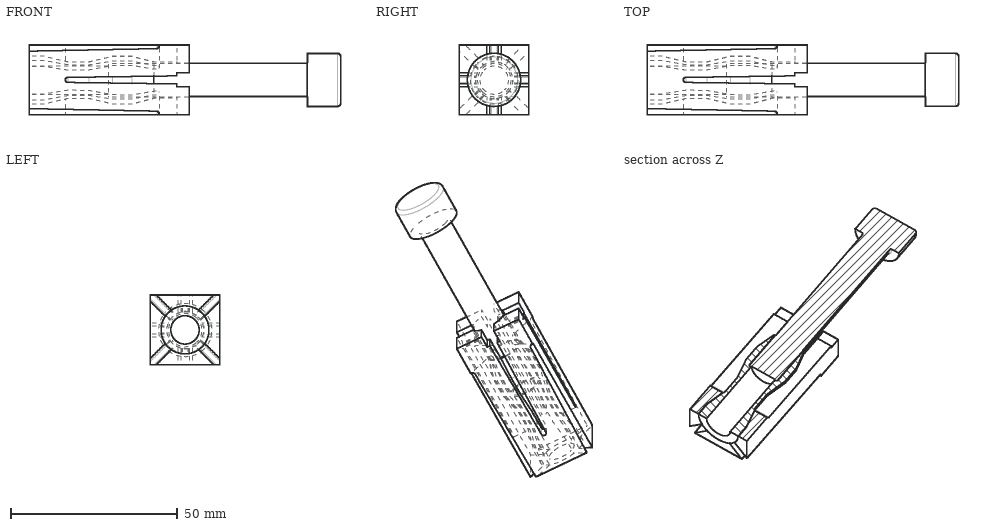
import cadquery as cq
import math


TOTAL_LENGTH = 93.7

SLEEVE_WIDTH = 21.0
SLEEVE_LENGTH = 48.2
SLOT_DRAFT = math.radians(0.8)
CORNER_SLOT_MOUTH = 2.6
CORNER_SLOT_END = 39.1
FACE_SLOT_MOUTH = 2.5
FACE_SLOT_END = 10.9
NOTCH_WIDTH = 4.2
NOTCH_LENGTH = 3.75

NUT_RADIUS = 7.2
NUT_WAIST_RADIUS = 5.5
FRONT_COLLAR_END = 4.4
FRONT_CONE_END = 11.5
REAR_CONE_START = 17.9
REAR_COLLAR_START = 25.0
REAR_COLLAR_END = 30.8
NUT_LENGTH = 37.4
NUT_HOLE_DIAMETER = 8.5

SHANK_DIAMETER = 10.0
SHANK_LENGTH = 60.0
HEAD_DIAMETER = 16.0
HEAD_LENGTH = 10.0
HEAD_ROUNDING = 1.0
NECK_FILLET = 0.4

HEAD_START = TOTAL_LENGTH - HEAD_LENGTH
SHANK_START = HEAD_START - SHANK_LENGTH


def cylinder(diameter, start, length):
    """Cylinder on the X axis from X = start."""
    return cq.Workplane("YZ", origin=(start, 0, 0)).circle(diameter / 2).extrude(length)


def wedge_profile():
    """Solid of revolution filling the nut's outer shape."""
    outline = [
        (0, 0),
        (0, NUT_RADIUS),
        (FRONT_COLLAR_END, NUT_RADIUS),
        (FRONT_CONE_END, NUT_WAIST_RADIUS),
        (REAR_CONE_START, NUT_WAIST_RADIUS),
        (REAR_COLLAR_START, NUT_RADIUS),
        (REAR_COLLAR_END, NUT_RADIUS),
        (NUT_LENGTH, NUT_WAIST_RADIUS),
        (NUT_LENGTH, 0),
    ]
    return cq.Workplane("XY").polyline(outline).close().revolve(360, (0, 0, 0), (1, 0, 0))


def radial_slot(mouth_x, end_x, mouth_width, angle):
    """Drafted slot with a rounded end, cut outwards from the axis and turned about X."""
    direction = math.copysign(1, end_x - mouth_x)
    taper = math.tan(SLOT_DRAFT)
    mouth_half = mouth_width / 2
    end_half = (mouth_half - abs(end_x - mouth_x) * taper) / (1 - taper)
    round_x = end_x - direction * end_half
    slot = (
        cq.Workplane("XY")
        .moveTo(mouth_x, -mouth_half)
        .lineTo(round_x, -end_half)
        .threePointArc((end_x, 0), (round_x, end_half))
        .lineTo(mouth_x, mouth_half)
        .close()
        .extrude(SLEEVE_WIDTH)
    )
    return slot.rotate((0, 0, 0), (1, 0, 0), angle)


def mouth_notch(angle):
    """Wide step at the rear mouth of a face slot."""
    notch = cq.Workplane("XY").box(NOTCH_LENGTH, NOTCH_WIDTH, SLEEVE_WIDTH, centered=(False, True, False))
    return notch.translate((SLEEVE_LENGTH - NOTCH_LENGTH, 0, 0)).rotate((0, 0, 0), (1, 0, 0), angle)


def make_sleeve():
    sleeve = cq.Workplane("YZ").rect(SLEEVE_WIDTH, SLEEVE_WIDTH).extrude(SLEEVE_LENGTH)
    sleeve = sleeve.cut(wedge_profile())
    sleeve = sleeve.cut(cylinder(2 * NUT_WAIST_RADIUS, NUT_LENGTH, SLEEVE_LENGTH - NUT_LENGTH))
    for face_angle in (0, 90, 180, 270):
        sleeve = sleeve.cut(radial_slot(0, CORNER_SLOT_END, CORNER_SLOT_MOUTH, face_angle + 45))
        sleeve = sleeve.cut(radial_slot(SLEEVE_LENGTH, FACE_SLOT_END, FACE_SLOT_MOUTH, face_angle))
        sleeve = sleeve.cut(mouth_notch(face_angle))
    return sleeve


def make_nut():
    return (
        wedge_profile()
        .cut(cylinder(NUT_HOLE_DIAMETER, 0, NUT_LENGTH))
        .cut(cylinder(SHANK_DIAMETER, SHANK_START, NUT_LENGTH - SHANK_START))
    )


def make_screw():
    head = cylinder(HEAD_DIAMETER, HEAD_START, HEAD_LENGTH).faces(">X").edges().fillet(HEAD_ROUNDING)
    screw = head.union(cylinder(SHANK_DIAMETER, SHANK_START, SHANK_LENGTH))
    neck = cq.selectors.RadiusNthSelector(0)
    return screw.faces("<X[1]").edges(neck).fillet(NECK_FILLET)


sleeve = make_sleeve()
nut = make_nut()
screw = make_screw()

result = cq.Compound.makeCompound([sleeve.val(), nut.val(), screw.val()])